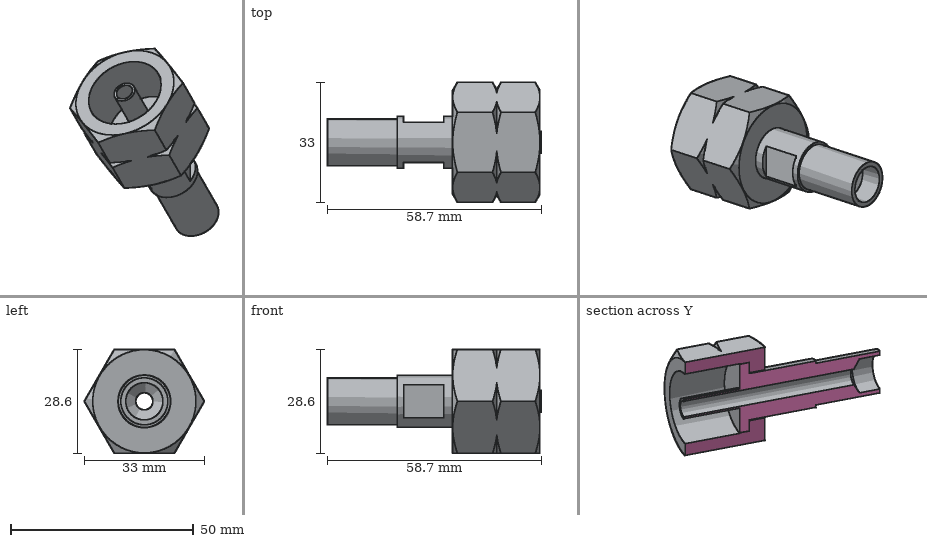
import cadquery as cq
import math

collar_start = 19.1
flat_start = 20.9
flat_end = 31.85
nut_start = 34.3
groove_position = 46.45
nut_end = 58.3
nose_end = 58.65

tube_diameter = 12.9
collar_diameter = 14.3
nose_diameter = 6.05
wrench_flat_width = 11.15
socket_diameter = 10.2
socket_depth = 6.1
bore_diameter = 4.65
drill_point_half_angle = 59.0

nut_across_flats = 28.6
hexagon_half_angle = 30.0
nut_across_corners = nut_across_flats / math.cos(math.radians(hexagon_half_angle))
corner_radius = nut_across_corners / 2
collar_clearance = 0.2
nut_wall = 4.7
front_face_diameter = 28.35
rear_face_diameter = nut_across_flats
groove_root_diameter = 29.0
corner_chamfer_angle = 30.0
corner_slope = math.tan(math.radians(corner_chamfer_angle))

shoulder_diameter = 21.1
shoulder_thickness = 2.95
shoulder_start = nut_start + nut_wall
shoulder_end = shoulder_start + shoulder_thickness


def revolve_about_x(profile):
    """Turned solid from a closed outline of (axial position, radius) points."""
    return cq.Workplane("XY").polyline(profile).close().revolve(360, (0, 0, 0), (1, 0, 0))


def make_stem():
    """Hollow turned stem: tube, collar with two wrench flats, shoulder and nose."""
    profile = [
        (0, 0),
        (0, tube_diameter / 2),
        (collar_start, tube_diameter / 2),
        (collar_start, collar_diameter / 2),
        (shoulder_start, collar_diameter / 2),
        (shoulder_start, shoulder_diameter / 2),
        (shoulder_end, shoulder_diameter / 2),
        (shoulder_end, nose_diameter / 2),
        (nose_end, nose_diameter / 2),
        (nose_end, 0),
    ]
    stem = revolve_about_x(profile)
    return cut_wrench_flats(stem).cut(make_stem_bore())


def make_stem_bore():
    """Socket with a drill-point bottom, leading into a narrow through bore."""
    socket_radius = socket_diameter / 2
    bore_radius = bore_diameter / 2
    cone_length = (socket_radius - bore_radius) / math.tan(math.radians(drill_point_half_angle))
    return revolve_about_x([
        (0, 0),
        (0, socket_radius),
        (socket_depth, socket_radius),
        (socket_depth + cone_length, bore_radius),
        (nose_end, bore_radius),
        (nose_end, 0),
    ])


def cut_wrench_flats(stem):
    """Mill two opposite flats into the collar, facing -Y and +Y."""
    flat_length = flat_end - flat_start
    for side in (-1, 1):
        block = cq.Workplane("XY").box(flat_length, collar_diameter, collar_diameter).translate(
            ((flat_start + flat_end) / 2, side * (wrench_flat_width + collar_diameter) / 2, 0)
        )
        stem = stem.cut(block)
    return stem


def make_nut():
    """Hexagonal nut with chamfered corners and a V-groove around its middle."""
    hexagon = (
        cq.Workplane("YZ", origin=(nut_start, 0, 0))
        .polygon(6, nut_across_corners)
        .extrude(nut_end - nut_start)
    )
    return hexagon.intersect(make_corner_envelope()).cut(make_nut_bore())


def make_nut_bore():
    """Clearance hole for the collar, opening into a wide bore that fits the shoulder."""
    clearance_radius = (collar_diameter + collar_clearance) / 2
    return revolve_about_x([
        (nut_start, 0),
        (nut_start, clearance_radius),
        (shoulder_start, clearance_radius),
        (shoulder_start, shoulder_diameter / 2),
        (nut_end, shoulder_diameter / 2),
        (nut_end, 0),
    ])


def make_corner_envelope():
    """Turned envelope whose sloped ends and V-groove trim only the hexagon's corners."""
    front_run = (corner_radius - front_face_diameter / 2) * corner_slope
    rear_run = (corner_radius - rear_face_diameter / 2) * corner_slope
    groove_run = (corner_radius - groove_root_diameter / 2) * corner_slope
    return revolve_about_x([
        (nut_start, 0),
        (nut_start, front_face_diameter / 2),
        (nut_start + front_run, corner_radius),
        (groove_position - groove_run, corner_radius),
        (groove_position, groove_root_diameter / 2),
        (groove_position + groove_run, corner_radius),
        (nut_end - rear_run, corner_radius),
        (nut_end, rear_face_diameter / 2),
        (nut_end, 0),
    ])


stem = make_stem()
nut = make_nut()

result = cq.Compound.makeCompound([stem.val(), nut.val()])